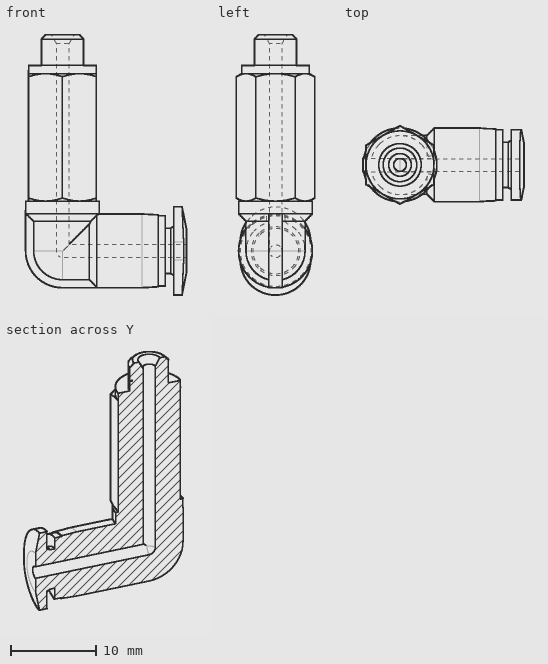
import cadquery as cq
import math


overall_height = 30.65
top_z = 25.45
shoulder_z = 21.82
hex_top_z = 20.85
hex_bottom_z = 5.85

thread_diameter = 5.0
thread_tip_diameter = 3.95
hex_across_flats = 8.0
hex_chamfer_angle = 30

body_diameter = 8.7
elbow_diameter = 6.95
rib_width = 1.55

body_start_x = 4.05
taper_start_x = 9.32
taper_end_x = 11.25
body_end_x = 12.1
flare_start_x = 12.72
button_start_x = 13.1
button_rim_x = 14.07
button_end_x = 14.6

taper_end_diameter = 8.5
sleeve_diameter = 8.3
neck_diameter = 5.35
flare_diameter = 5.75
button_width = 8.3
button_face_diameter = 5.2

bore_diameter = 1.5
countersink_diameter = 2.67
countersink_depth = 1.0

body_radius = body_diameter / 2
elbow_radius = elbow_diameter / 2
collar_bottom_z = body_radius
cone_length = body_radius - elbow_radius
button_height = 2 * (overall_height - top_z)


def stem_cylinder(diameter, start_z, end_z):
    return cq.Workplane("XY").workplane(offset=start_z).circle(diameter / 2).extrude(end_z - start_z)


def arm_cylinder(diameter, start_x, end_x):
    return cq.Workplane("YZ").workplane(offset=start_x).circle(diameter / 2).extrude(end_x - start_x)


def stem_cone(bottom_diameter, top_diameter, start_z, end_z):
    profile = [(0, start_z), (bottom_diameter / 2, start_z), (top_diameter / 2, end_z), (0, end_z)]
    return cq.Workplane("XZ").polyline(profile).close().revolve(360, (0, 0, 0), (0, 1, 0))


def arm_cone(start_diameter, end_diameter, start_x, end_x):
    profile = [(start_x, 0), (start_x, start_diameter / 2), (end_x, end_diameter / 2), (end_x, 0)]
    return cq.Workplane("XZ").polyline(profile).close().revolve(360, (0, 0, 0), (1, 0, 0))


def threaded_end():
    chamfer = (thread_diameter - thread_tip_diameter) / 2
    shank = stem_cylinder(thread_diameter, shoulder_z, top_z).faces(">Z").chamfer(chamfer)
    return shank.union(stem_cylinder(hex_across_flats, hex_top_z, shoulder_z))


def hexagon():
    """Hexagon with flats facing +X and -X and conically chamfered corners at both ends."""
    across_corners = hex_across_flats / math.cos(math.radians(30))
    prism = (
        cq.Workplane("XY")
        .workplane(offset=hex_bottom_z)
        .transformed(rotate=(0, 0, 90))
        .polygon(6, across_corners)
        .extrude(hex_top_z - hex_bottom_z)
    )
    flat_radius = hex_across_flats / 2
    clear_radius = across_corners
    corner_drop = (clear_radius - flat_radius) * math.tan(math.radians(hex_chamfer_angle))
    envelope = (
        cq.Workplane("XZ")
        .polyline([
            (0, hex_bottom_z),
            (flat_radius, hex_bottom_z),
            (clear_radius, hex_bottom_z + corner_drop),
            (clear_radius, hex_top_z - corner_drop),
            (flat_radius, hex_top_z),
            (0, hex_top_z),
        ])
        .close()
        .revolve(360, (0, 0, 0), (0, 1, 0))
    )
    return prism.intersect(envelope)


def collar():
    ring = stem_cylinder(body_diameter, collar_bottom_z, hex_bottom_z)
    cone = stem_cone(elbow_diameter, body_diameter, collar_bottom_z - cone_length, collar_bottom_z)
    return ring.union(cone)


def bend(diameter, stem_end_z, arm_end_x):
    """Two round legs joined by a ball at the origin, usable as a solid or as a cutter."""
    legs = stem_cylinder(diameter, 0, stem_end_z).union(arm_cylinder(diameter, 0, arm_end_x))
    return legs.union(cq.Workplane("XY").sphere(diameter / 2))


def elbow_rib():
    """Flat web around the outside of the bend, flush with the collar and the arm."""
    diagonal = body_radius * math.sqrt(0.5)
    return (
        cq.Workplane("XZ")
        .moveTo(0, collar_bottom_z)
        .lineTo(-body_radius, collar_bottom_z)
        .lineTo(-body_radius, 0)
        .threePointArc((-diagonal, -diagonal), (0, -body_radius))
        .lineTo(body_start_x, -body_radius)
        .lineTo(body_start_x, 0)
        .lineTo(0, 0)
        .close()
        .extrude(rib_width / 2, both=True)
    )


def tube_arm():
    arm = arm_cone(elbow_diameter, body_diameter, body_start_x - cone_length, body_start_x)
    arm = arm.union(arm_cylinder(body_diameter, body_start_x, taper_start_x))
    arm = arm.union(arm_cone(body_diameter, taper_end_diameter, taper_start_x, taper_end_x))
    arm = arm.union(arm_cylinder(sleeve_diameter, taper_end_x, body_end_x))
    arm = arm.union(arm_cylinder(neck_diameter, body_end_x, flare_start_x))
    return arm.union(arm_cone(neck_diameter, flare_diameter, flare_start_x, button_start_x))


def release_button():
    """Oval plate with a shallow conical outer face."""
    plate = (
        cq.Workplane("YZ")
        .workplane(offset=button_start_x)
        .slot2D(button_height, button_width, 90)
        .extrude(button_end_x - button_start_x)
    )
    envelope = arm_cylinder(button_height, button_start_x, button_rim_x)
    envelope = envelope.union(arm_cone(button_height, button_face_diameter, button_rim_x, button_end_x))
    return plate.intersect(envelope)


def passage():
    bore = bend(bore_diameter, top_z, button_end_x)
    countersink = stem_cone(bore_diameter, countersink_diameter, top_z - countersink_depth, top_z)
    return bore.union(countersink)


result = (
    threaded_end()
    .union(hexagon())
    .union(collar())
    .union(bend(elbow_diameter, collar_bottom_z, body_start_x))
    .union(elbow_rib())
    .union(tube_arm())
    .union(release_button())
    .cut(passage())
)